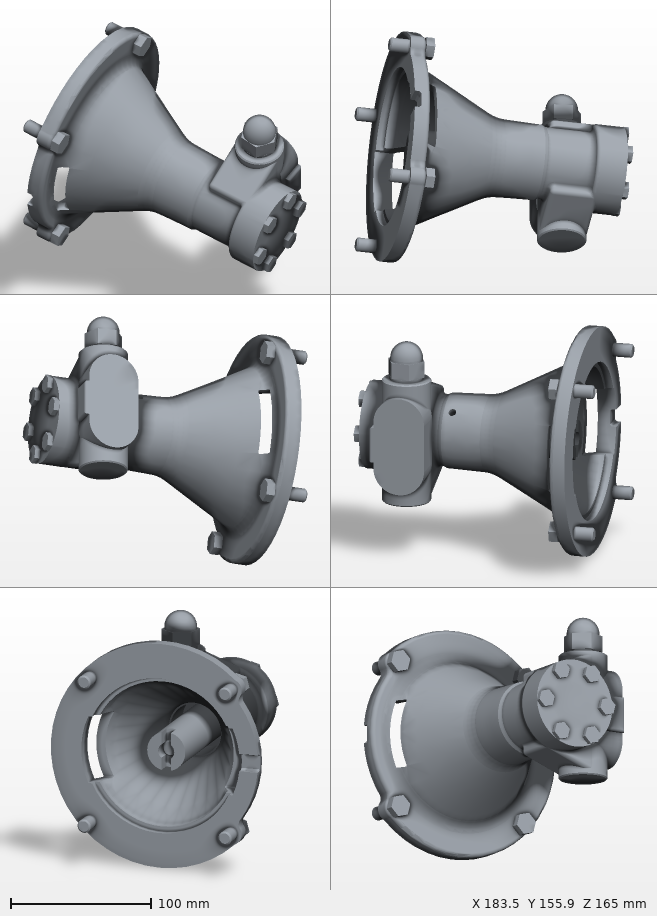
import cadquery as cq
import math


flange_thick = 11.5
flange_radius = 82.5
relief_radius = 73.4
flange_edge_round = 3.0
stud_circle_radius = 75.0
lug_radius = 8.0
lug_blend_radius = 5.5
notch_width = 12.8
notch_depth = 4.8
notch_chamfer = 1.5

stud_radius = 5.0
stud_length = 14.1
stud_chamfer = 1.1
stud_head_circumradius = 8.3
stud_head_height = 6.2
hex_turn = 15.0

cone_end_x = 66.4
cone_end_radius = 31.4
cone_slope = 0.52
root_radius = 9.2
neck_start_x = 77.2
neck_start_radius = 28.0
neck_end_x = 106.2
neck_end_radius = 27.1
body_start_x = 109.1
body_radius = 25.7

recess_radius = 57.0
recess_depth = 5.5
mouth_radius = 53.5
mouth_blend_start_x = 5.9
mouth_blend_end_x = 14.1
mouth_blend_end_radius = 51.5
throat_blend_start_radius = 22.4
throat_x = 77.0
throat_radius = 20.4
bore_radius = 19.0
bore_end_x = 105.5
bore_step_x = 78.9
inner_cone_length = (mouth_blend_end_radius - throat_blend_start_radius) / cone_slope

window_radius = 59.6
window_height = 49.1
window_end_x = 20.5
window_corner_round = 1.1

shaft_radius = 14.3
shaft_start_x = 12.8
slot_width = 7.2
slot_depth = 11.0
center_radius = 6.0
center_stub_length = 1.8
center_chamfer = 1.1

cap_start_x = 143.5
cap_end_x = 165.5
cap_radius = 31.7
cap_round = 2.8
cap_blend = 3.0
cap_bolt_count = 6
cap_bolt_circle_radius = 25.7
cap_bolt_circumradius = 6.6
cap_bolt_height = 3.9

port_x = 131.0
port_y = 29.0
port_radius = 17.6
port_top_z = 45.0
port_bottom_z = -45.7
port_edge_chamfer = 1.0
web_half_width = 17.2
web_front_y = -12.0
web_slope = 0.38
web_round = 3.1
web_base_blend = 2.2
fit_tolerance = 0.02
side_port_half_width = 18.7
side_port_half_height = 35.8
side_port_y = 50.6
pad_end_x = 153.0
pad_length = 16.1
pad_half_height = 12.8
pad_round = 1.8

nut_collar_radius = 12.1
nut_start_z = 47.1
nut_end_z = 58.9
nut_circumradius = 13.8
nut_turn = -7.0
dome_radius = 11.7
dome_top_z = 72.3

vent_x = 99.8
vent_radius = 2.8
vent_angle = 45.0


def x_cylinder(radius, start, end, y=0.0, z=0.0):
    return cq.Workplane("YZ", origin=(start, y, z)).circle(radius).extrude(end - start)


def x_hexagon(circumradius, start, end, y, z):
    plane = cq.Workplane("YZ", origin=(start, y, z)).transformed(rotate=(0, 0, hex_turn))
    return plane.polygon(6, 2 * circumradius).extrude(end - start)


def revolve_about_x(profile):
    solid = profile.close().revolve(360, (0, 0, 0), (1, 0, 0))
    return solid.rotate((0, 0, 0), (1, 0, 0), 180)


stud_offset = stud_circle_radius * math.sqrt(0.5)
stud_places = [(y, z) for y in (-stud_offset, stud_offset) for z in (-stud_offset, stud_offset)]


def make_flange():
    disc = x_cylinder(flange_radius, 0, flange_thick)
    wedge = (
        cq.Workplane("YZ")
        .polyline([(0, 0), (-2 * flange_radius, -2 * flange_radius), (-2 * flange_radius, 2 * flange_radius)])
        .close()
        .extrude(flange_thick)
    )
    disc = disc.cut(wedge.cut(x_cylinder(relief_radius, 0, flange_thick)))
    for y, z in stud_places[:2]:
        disc = disc.union(x_cylinder(lug_radius, 0, flange_thick, y, z))
    blend_zone = cq.selectors.BoxSelector(
        (0, -flange_radius, -flange_radius), (flange_thick, -stud_offset, flange_radius)
    )
    disc = disc.edges("|X").edges(blend_zone).fillet(lug_blend_radius)
    return disc.faces(">X").edges().fillet(flange_edge_round)


def make_bell():
    profile = (
        cq.Workplane("XY")
        .lineTo(0, cone_end_radius + cone_slope * cone_end_x)
        .lineTo(cone_end_x, cone_end_radius)
        .tangentArcPoint((neck_start_x, neck_start_radius), relative=False)
        .lineTo(neck_end_x, neck_end_radius)
        .lineTo(body_start_x, body_radius)
        .lineTo(cap_start_x - cap_blend, body_radius)
        .tangentArcPoint((cap_start_x, body_radius + cap_blend), relative=False)
        .lineTo(cap_start_x, cap_radius - cap_round)
        .tangentArcPoint((cap_start_x + cap_round, cap_radius), relative=False)
        .lineTo(cap_end_x, cap_radius)
        .lineTo(cap_end_x, 0)
    )
    return revolve_about_x(profile)


def make_cavity():
    profile = (
        cq.Workplane("XY")
        .lineTo(0, recess_radius)
        .lineTo(recess_depth, recess_radius)
        .lineTo(recess_depth, mouth_radius)
        .lineTo(mouth_blend_start_x, mouth_radius)
        .tangentArcPoint((mouth_blend_end_x, mouth_blend_end_radius), relative=False)
        .lineTo(mouth_blend_end_x + inner_cone_length, throat_blend_start_radius)
        .tangentArcPoint((throat_x, throat_radius), relative=False)
        .lineTo(bore_step_x, throat_radius)
        .lineTo(bore_step_x, bore_radius)
        .lineTo(bore_end_x, bore_radius)
        .lineTo(bore_end_x, 0)
    )
    return revolve_about_x(profile)


def make_windows():
    band = cq.Workplane("XY").box(
        window_end_x, 2 * window_radius, window_height, centered=(False, True, True)
    )
    band = band.edges("|Y and >X").fillet(window_corner_round)
    return band.intersect(x_cylinder(window_radius, 0, window_end_x))


def make_rim_notch():
    notch = cq.Workplane("XY").box(
        notch_depth, flange_radius - mouth_radius, notch_width, centered=(False, False, True)
    )
    notch = notch.edges("|Y and >X").chamfer(notch_chamfer)
    return notch.translate((0, -flange_radius, 0))


def make_port_column():
    height = port_top_z - port_bottom_z
    column = cq.Workplane("XY", origin=(port_x, port_y, port_bottom_z)).circle(port_radius).extrude(height)
    return column.faces("|Z").edges().chamfer(port_edge_chamfer)


def make_web():
    web_front_z = port_top_z - web_slope * (port_y - web_front_y)
    web = (
        cq.Workplane("YZ", origin=(port_x - web_half_width, 0, 0))
        .moveTo(web_front_y, -web_front_z)
        .lineTo(web_front_y, web_front_z)
        .lineTo(port_y, port_top_z)
        .lineTo(port_y, -port_top_z)
        .close()
        .extrude(2 * web_half_width)
    )
    rounded_zone = cq.selectors.BoxSelector((0, web_front_y - 1.8, -port_top_z), (cap_end_x, port_y - 1.8, port_top_z))
    return web.edges(rounded_zone).fillet(web_round)


def make_side_port():
    straight = 2 * (side_port_half_height - side_port_half_width)
    port = (
        cq.Workplane("XZ", origin=(port_x, side_port_y, 0))
        .slot2D(straight + 2 * side_port_half_width, 2 * side_port_half_width, 90)
        .extrude(side_port_y - port_y)
    )
    pad = (
        cq.Workplane("XY", origin=(port_x, side_port_y - pad_length, 0))
        .box(pad_end_x - port_x, pad_length, 2 * pad_half_height, centered=(False, False, True))
        .faces(">X")
        .edges()
        .fillet(pad_round)
    )
    return port.union(pad)


def make_cap_bolts():
    bolts = cq.Workplane("XY")
    for index in range(cap_bolt_count):
        angle = 2 * math.pi * index / cap_bolt_count
        y = cap_bolt_circle_radius * math.cos(angle)
        z = cap_bolt_circle_radius * math.sin(angle)
        bolts = bolts.add(x_hexagon(cap_bolt_circumradius, cap_end_x, cap_end_x + cap_bolt_height, y, z))
    return bolts.combine()


def make_studs():
    studs = cq.Workplane("XY")
    for y, z in stud_places:
        shank = x_cylinder(stud_radius, -stud_length, flange_thick, y, z)
        studs = studs.add(shank.faces("<X").edges().chamfer(stud_chamfer))
        head_end = flange_thick + stud_head_height
        studs = studs.add(x_hexagon(stud_head_circumradius, flange_thick, head_end, y, z))
    return studs.combine()


def make_shaft():
    shaft = x_cylinder(shaft_radius, shaft_start_x, bore_end_x)
    slot = cq.Workplane("XY").box(slot_depth, 2 * shaft_radius, 2 * shaft_radius, centered=(False, True, True))
    slot = slot.intersect(cq.Workplane("XY").box(2 * slot_depth, slot_width, 2 * shaft_radius))
    slot = slot.translate((shaft_start_x, 0, 0))
    slot_floor_x = shaft_start_x + slot_depth
    center_bore = x_cylinder(center_radius, shaft_start_x, slot_floor_x)
    stub = x_cylinder(center_radius, slot_floor_x - center_stub_length, slot_floor_x)
    stub = stub.faces("<X").edges().chamfer(center_chamfer)
    return shaft.cut(slot).cut(center_bore).union(stub)


def make_cap_nut():
    collar = cq.Workplane("XY", origin=(port_x, port_y, port_top_z))
    collar = collar.circle(nut_collar_radius).extrude(nut_start_z - port_top_z)
    nut = (
        cq.Workplane("XY", origin=(port_x, port_y, nut_start_z))
        .transformed(rotate=(0, 0, nut_turn))
        .polygon(6, 2 * nut_circumradius)
        .extrude(nut_end_z - nut_start_z)
    )
    dome_center = (port_x, port_y, dome_top_z - dome_radius)
    dome = cq.Workplane("XY").sphere(dome_radius).translate(dome_center)
    dome_base = cq.Workplane("XY", origin=(port_x, port_y, nut_start_z))
    dome_base = dome_base.circle(dome_radius).extrude(dome_center[2] - nut_start_z)
    return collar.union(nut).union(dome_base).union(dome)


def make_vent():
    vent = cq.Workplane("XY", origin=(vent_x, 0, 0)).circle(vent_radius).extrude(cap_radius)
    return vent.rotate((0, 0, 0), (1, 0, 0), -vent_angle)


def lies_on_body(edge):
    """True when the whole edge runs on the round body between neck and cap."""
    points = [edge.positionAt(part) for part in (0, 0.5, 1)]
    on_surface = all(abs(math.hypot(point.y, point.z) - body_radius) < fit_tolerance for point in points)
    return on_surface and body_start_x + 1.8 < edge.Center().x < cap_start_x - cap_blend


def make_flanged_bell():
    cone_foot_radius = cone_end_radius + cone_slope * (cone_end_x - flange_thick)
    foot_reach = cone_foot_radius + fit_tolerance
    foot_zone = cq.selectors.BoxSelector(
        (flange_thick - fit_tolerance, -foot_reach, -foot_reach),
        (flange_thick + fit_tolerance, foot_reach, foot_reach),
        boundingbox=True,
    )
    return make_flange().union(make_bell()).edges(foot_zone).fillet(root_radius)


def make_body():
    body = make_flanged_bell().union(make_web())
    base_edges = [edge for edge in body.edges().vals() if lies_on_body(edge)]
    return body.newObject(base_edges).fillet(web_base_blend)


housing = make_body().union(make_side_port()).union(make_port_column())
housing = housing.cut(make_cavity()).cut(make_windows()).cut(make_rim_notch()).cut(make_vent())
result = housing.union(make_shaft()).union(make_cap_nut()).union(make_studs()).union(make_cap_bolts())